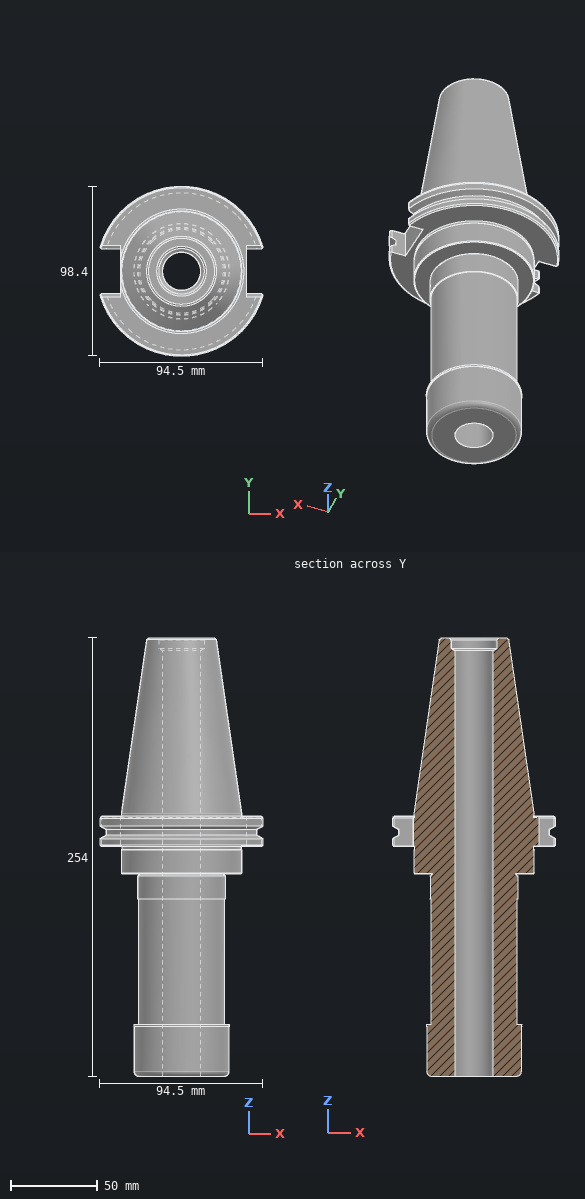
import cadquery as cq
import math


GAUGE_DIA = 69.85
TAPER_RATIO = 7 / 24
TAPER_LENGTH = 101.6
TIP_CHAMFER_DIA = 38.25
TIP_CHAMFER_HEIGHT = 1.0
TIP_DIA = GAUGE_DIA - TAPER_RATIO * (TAPER_LENGTH - TIP_CHAMFER_HEIGHT)

FLANGE_DIA = 98.43
FLANGE_TOP = -1.52
FLANGE_BOTTOM = -19.05
FLANGE_TOP_CHAMFER_WIDTH = 0.8
FLANGE_TOP_CHAMFER_HEIGHT = 1.5
FLANGE_BOTTOM_CHAMFER = 0.8
RELIEF_DIA = 72.2
RELIEF_DEPTH = 0.8
RELIEF_FLOOR = FLANGE_TOP - RELIEF_DEPTH
GROOVE_CENTER = -10.95
GROOVE_FLOOR_DIA = 91.1
GROOVE_FLOOR_WIDTH = 3.3
GROOVE_WALL_ANGLE = 30

SLOT_WIDTH = 25.7
SLOT_FLOOR_LEFT = 35.3
SLOT_FLOOR_RIGHT = 37.7
SLOT_SIDE_CHAMFER = 1.0
SLOT_TOP_CHAMFER_WIDTH = 2.0
SLOT_TOP_CHAMFER_HEIGHT = 1.0

UNDERCUT_DIA = 69.25
UNDERCUT_BOTTOM = -20.8
SHOULDER_DIA = GAUGE_DIA
SHOULDER_BOTTOM = -35.05
SHOULDER_CHAMFER = 0.5

SLEEVE_DIA = 51.0
SLEEVE_BOTTOM = -49.6
SLEEVE_TOP_CHAMFER = 1.3
BODY_DIA = 50.0

OVERALL_LENGTH = 254.0
NUT_BOTTOM = TAPER_LENGTH - OVERALL_LENGTH
NUT_DIA = 55.0
NUT_END_FILLET = 3.0
NUT_COLLAR_DIA = 55.4
NUT_COLLAR_TOP = -122.2
NUT_COLLAR_HEIGHT = 1.2

BORE_DIA = 21.96
COUNTERBORE_DIA = 26.4
COUNTERBORE_DEPTH = 6.0
COUNTERBORE_CHAMFER = 1.2
COUNTERBORE_FLOOR_SLOPE = 30


def revolve_profile(points):
    """Turn a closed half profile of (diameter, z) points about the Z axis."""
    half_profile = [(diameter / 2, z) for diameter, z in points]
    return (
        cq.Workplane("XZ")
        .polyline(half_profile)
        .close()
        .revolve(360, (0, 0, 0), (0, 1, 0))
    )


def make_shank():
    return revolve_profile([
        (0, TAPER_LENGTH),
        (TIP_CHAMFER_DIA, TAPER_LENGTH),
        (TIP_DIA, TAPER_LENGTH - TIP_CHAMFER_HEIGHT),
        (GAUGE_DIA, 0),
        (GAUGE_DIA, FLANGE_TOP),
        (UNDERCUT_DIA, FLANGE_TOP),
        (UNDERCUT_DIA, RELIEF_FLOOR),
        (0, RELIEF_FLOOR),
    ])


def make_flange():
    wall_height = (FLANGE_DIA - GROOVE_FLOOR_DIA) / 2 * math.tan(math.radians(GROOVE_WALL_ANGLE))
    floor_top = GROOVE_CENTER + GROOVE_FLOOR_WIDTH / 2
    floor_bottom = GROOVE_CENTER - GROOVE_FLOOR_WIDTH / 2
    return revolve_profile([
        (0, RELIEF_FLOOR),
        (RELIEF_DIA, RELIEF_FLOOR),
        (RELIEF_DIA, FLANGE_TOP),
        (FLANGE_DIA - 2 * FLANGE_TOP_CHAMFER_WIDTH, FLANGE_TOP),
        (FLANGE_DIA, FLANGE_TOP - FLANGE_TOP_CHAMFER_HEIGHT),
        (FLANGE_DIA, floor_top + wall_height),
        (GROOVE_FLOOR_DIA, floor_top),
        (GROOVE_FLOOR_DIA, floor_bottom),
        (FLANGE_DIA, floor_bottom - wall_height),
        (FLANGE_DIA, FLANGE_BOTTOM + FLANGE_BOTTOM_CHAMFER),
        (FLANGE_DIA - 2 * FLANGE_BOTTOM_CHAMFER, FLANGE_BOTTOM),
        (0, FLANGE_BOTTOM),
    ])


def make_slot_cutter(floor_distance, direction):
    """Slot on the +X (direction 1) or -X (direction -1) side, with its edge chamfers."""
    half_width = SLOT_WIDTH / 2
    rim_x = math.sqrt((FLANGE_DIA / 2) ** 2 - (half_width + SLOT_SIDE_CHAMFER) ** 2)
    chamfer_start_x = rim_x - SLOT_SIDE_CHAMFER
    outer_x = FLANGE_DIA / 2
    outer_half_width = half_width + outer_x - chamfer_start_x

    plan = [
        (floor_distance, -half_width),
        (chamfer_start_x, -half_width),
        (outer_x, -outer_half_width),
        (outer_x, outer_half_width),
        (chamfer_start_x, half_width),
        (floor_distance, half_width),
    ]
    walls = (
        cq.Workplane("XY", origin=(0, 0, FLANGE_BOTTOM))
        .polyline([(direction * x, y) for x, y in plan])
        .close()
        .extrude(FLANGE_TOP - FLANGE_BOTTOM)
    )

    top_relief = (
        cq.Workplane("YZ", origin=(direction * floor_distance, 0, 0))
        .polyline([
            (-half_width - SLOT_TOP_CHAMFER_WIDTH, FLANGE_TOP),
            (-half_width, FLANGE_TOP - SLOT_TOP_CHAMFER_HEIGHT),
            (half_width, FLANGE_TOP - SLOT_TOP_CHAMFER_HEIGHT),
            (half_width + SLOT_TOP_CHAMFER_WIDTH, FLANGE_TOP),
        ])
        .close()
        .extrude(direction * (outer_x - floor_distance))
    )
    return walls.union(top_relief)


def make_lower_body():
    undercut_step = (SHOULDER_DIA - UNDERCUT_DIA) / 2
    body = revolve_profile([
        (0, FLANGE_BOTTOM),
        (UNDERCUT_DIA, FLANGE_BOTTOM),
        (UNDERCUT_DIA, UNDERCUT_BOTTOM),
        (SHOULDER_DIA, UNDERCUT_BOTTOM - undercut_step),
        (SHOULDER_DIA, SHOULDER_BOTTOM + SHOULDER_CHAMFER),
        (SHOULDER_DIA - 2 * SHOULDER_CHAMFER, SHOULDER_BOTTOM),
        (SLEEVE_DIA - 2 * SLEEVE_TOP_CHAMFER, SHOULDER_BOTTOM),
        (SLEEVE_DIA, SHOULDER_BOTTOM - SLEEVE_TOP_CHAMFER),
        (SLEEVE_DIA, SLEEVE_BOTTOM),
        (BODY_DIA, SLEEVE_BOTTOM),
        (BODY_DIA, NUT_COLLAR_TOP),
        (NUT_COLLAR_DIA, NUT_COLLAR_TOP),
        (NUT_COLLAR_DIA, NUT_COLLAR_TOP - NUT_COLLAR_HEIGHT),
        (NUT_DIA, NUT_COLLAR_TOP - NUT_COLLAR_HEIGHT),
        (NUT_DIA, NUT_BOTTOM),
        (0, NUT_BOTTOM),
    ])
    return body.faces("<Z").edges().fillet(NUT_END_FILLET)


def make_bore():
    cone_height = (COUNTERBORE_DIA - BORE_DIA) / 2 * math.tan(math.radians(COUNTERBORE_FLOOR_SLOPE))
    counterbore_floor = TAPER_LENGTH - COUNTERBORE_DEPTH
    return revolve_profile([
        (0, TAPER_LENGTH),
        (COUNTERBORE_DIA + 2 * COUNTERBORE_CHAMFER, TAPER_LENGTH),
        (COUNTERBORE_DIA, TAPER_LENGTH - COUNTERBORE_CHAMFER),
        (COUNTERBORE_DIA, counterbore_floor),
        (BORE_DIA, counterbore_floor - cone_height),
        (BORE_DIA, NUT_BOTTOM),
        (0, NUT_BOTTOM),
    ])


flange = make_flange()
flange = flange.cut(make_slot_cutter(SLOT_FLOOR_LEFT, -1))
flange = flange.cut(make_slot_cutter(SLOT_FLOOR_RIGHT, 1))

result = make_shank().union(flange).union(make_lower_body()).cut(make_bore())